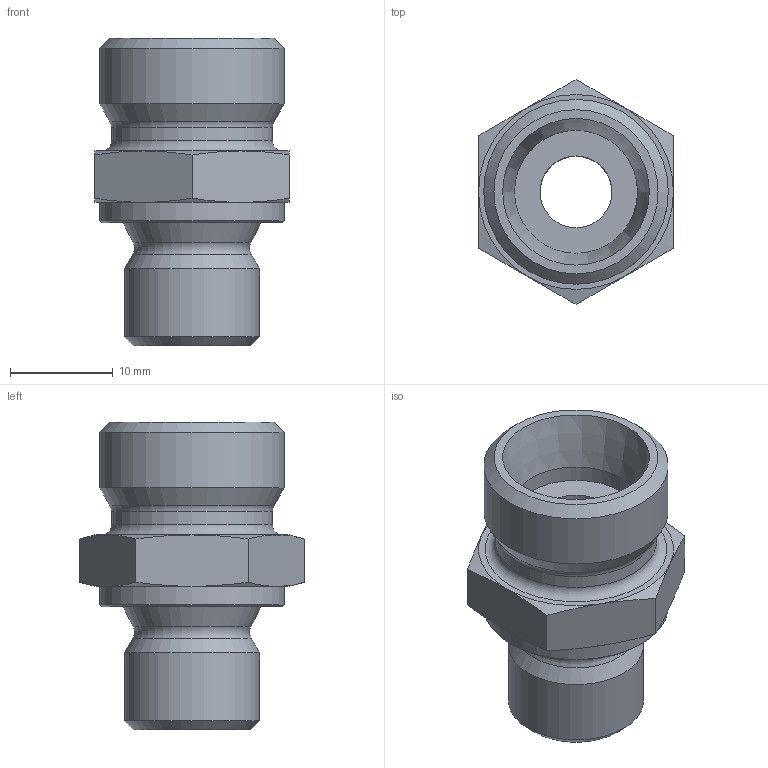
import cadquery as cq
import math

TOTAL_LENGTH = 30.0
HEX_TOP = 19.0
HEX_BOTTOM = 14.0
COLLAR_BOTTOM = 12.0

TUBE_THREAD_RADIUS = 18.0 / 2
TUBE_THREAD_CHAMFER = 1.0
TUBE_THREAD_BOTTOM = 23.6
TUBE_GROOVE_RADIUS = 15.7 / 2
TUBE_GROOVE_FILLET = 1.0

HEX_ACROSS_FLATS = 19.0
HEX_CHAMFER_ANGLE = math.radians(15)
HEX_FACE_RADIUS = HEX_ACROSS_FLATS / 2

COLLAR_RADIUS = 18.0 / 2
COLLAR_CHAMFER = 0.2

PORT_THREAD_RADIUS = 13.16 / 2
PORT_THREAD_CHAMFER = 0.9
PORT_THREAD_TOP = 7.5
PORT_NECK_RADIUS = 11.2 / 2
COLLAR_FLANK_ANGLE = math.radians(27)

FLANK_ANGLE = math.radians(30)
ROOT_RADIUS = 1.2

THROUGH_RADIUS = 7.0 / 2
SOCKET_RADIUS = 12.0 / 2
SOCKET_DEPTH = 7.0
CONE_MOUTH_RADIUS = 14.3 / 2
CONE_HALF_ANGLE = math.radians(12)

ROOT_RISE = ROOT_RADIUS * math.sin(FLANK_ANGLE)
ROOT_DEPTH = ROOT_RADIUS * (1 - math.cos(FLANK_ANGLE))
ROOT_MID_RISE = ROOT_RADIUS * math.sin(FLANK_ANGLE / 2)
ROOT_MID_DEPTH = ROOT_RADIUS * (1 - math.cos(FLANK_ANGLE / 2))


def flank_height(radial_step):
    """Axial length of an undercut flank that spans the given radial step."""
    return radial_step / math.tan(FLANK_ANGLE)


def make_turned_body():
    """Revolve the outer profile of everything except the hexagon."""
    port_flank_radius = PORT_NECK_RADIUS + ROOT_DEPTH
    port_root_bottom = PORT_THREAD_TOP + flank_height(PORT_THREAD_RADIUS - port_flank_radius)
    port_root_middle = port_root_bottom + ROOT_RISE
    port_root_top = port_root_middle + ROOT_RADIUS * math.sin(COLLAR_FLANK_ANGLE)
    collar_flank_start = PORT_NECK_RADIUS + ROOT_RADIUS * (1 - math.cos(COLLAR_FLANK_ANGLE))
    collar_flank_length = COLLAR_BOTTOM - port_root_top
    collar_flank_end = collar_flank_start + collar_flank_length * math.tan(COLLAR_FLANK_ANGLE)

    tube_flank_radius = TUBE_GROOVE_RADIUS + ROOT_DEPTH
    tube_root_top = TUBE_THREAD_BOTTOM - flank_height(TUBE_THREAD_RADIUS - tube_flank_radius)
    tube_root_bottom = tube_root_top - ROOT_RISE
    fillet_mid_offset = TUBE_GROOVE_FILLET * (1 - math.sqrt(0.5))

    profile = (
        cq.Workplane("XZ")
        .lineTo(PORT_THREAD_RADIUS - PORT_THREAD_CHAMFER, 0)
        .lineTo(PORT_THREAD_RADIUS, PORT_THREAD_CHAMFER)
        .lineTo(PORT_THREAD_RADIUS, PORT_THREAD_TOP)
        .lineTo(port_flank_radius, port_root_bottom)
        .threePointArc((PORT_NECK_RADIUS, port_root_middle), (collar_flank_start, port_root_top))
        .lineTo(collar_flank_end, COLLAR_BOTTOM)
        .lineTo(COLLAR_RADIUS - COLLAR_CHAMFER, COLLAR_BOTTOM)
        .lineTo(COLLAR_RADIUS, COLLAR_BOTTOM + COLLAR_CHAMFER)
        .lineTo(COLLAR_RADIUS, HEX_TOP)
        .lineTo(TUBE_GROOVE_RADIUS + TUBE_GROOVE_FILLET, HEX_TOP)
        .threePointArc(
            (TUBE_GROOVE_RADIUS + fillet_mid_offset, HEX_TOP + fillet_mid_offset),
            (TUBE_GROOVE_RADIUS, HEX_TOP + TUBE_GROOVE_FILLET),
        )
        .lineTo(TUBE_GROOVE_RADIUS, tube_root_bottom)
        .threePointArc(
            (TUBE_GROOVE_RADIUS + ROOT_MID_DEPTH, tube_root_bottom + ROOT_MID_RISE),
            (tube_flank_radius, tube_root_top),
        )
        .lineTo(TUBE_THREAD_RADIUS, TUBE_THREAD_BOTTOM)
        .lineTo(TUBE_THREAD_RADIUS, TOTAL_LENGTH - TUBE_THREAD_CHAMFER)
        .lineTo(TUBE_THREAD_RADIUS - TUBE_THREAD_CHAMFER, TOTAL_LENGTH)
        .lineTo(0, TOTAL_LENGTH)
        .close()
    )
    return profile.revolve(360, (0, 0, 0), (0, 1, 0))


def make_hexagon():
    """Hexagon with corners on the Y axis, both ends chamfered by a cone."""
    corner_radius = HEX_ACROSS_FLATS / 2 / math.cos(math.pi / 6)
    corner_drop = (corner_radius - HEX_FACE_RADIUS) * math.tan(HEX_CHAMFER_ANGLE)
    prism = (
        cq.Workplane("XY", origin=(0, 0, HEX_BOTTOM))
        .polygon(6, 2 * corner_radius)
        .extrude(HEX_TOP - HEX_BOTTOM)
        .rotate((0, 0, 0), (0, 0, 1), 30)
    )
    chamfer_envelope = (
        cq.Workplane("XZ")
        .moveTo(0, HEX_BOTTOM)
        .lineTo(HEX_FACE_RADIUS, HEX_BOTTOM)
        .lineTo(corner_radius, HEX_BOTTOM + corner_drop)
        .lineTo(corner_radius, HEX_TOP - corner_drop)
        .lineTo(HEX_FACE_RADIUS, HEX_TOP)
        .lineTo(0, HEX_TOP)
        .close()
        .revolve(360, (0, 0, 0), (0, 1, 0))
    )
    return prism.intersect(chamfer_envelope)


def make_bore():
    """Through hole, cylindrical tube socket and conical mouth."""
    socket_floor = TOTAL_LENGTH - SOCKET_DEPTH
    cone_depth = (CONE_MOUTH_RADIUS - SOCKET_RADIUS) / math.tan(CONE_HALF_ANGLE)
    return (
        cq.Workplane("XZ")
        .lineTo(THROUGH_RADIUS, 0)
        .lineTo(THROUGH_RADIUS, socket_floor)
        .lineTo(SOCKET_RADIUS, socket_floor)
        .lineTo(SOCKET_RADIUS, TOTAL_LENGTH - cone_depth)
        .lineTo(CONE_MOUTH_RADIUS, TOTAL_LENGTH)
        .lineTo(0, TOTAL_LENGTH)
        .close()
        .revolve(360, (0, 0, 0), (0, 1, 0))
    )


result = make_turned_body().union(make_hexagon()).cut(make_bore())